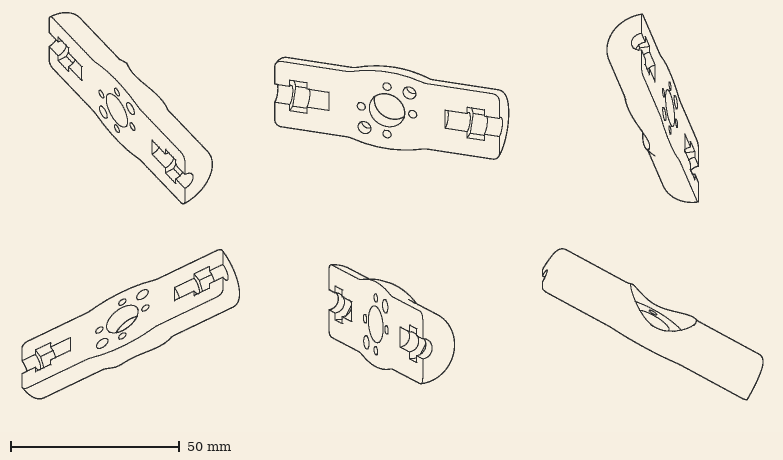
import cadquery as cq
import math

length = 70.0
half_length = length / 2
bar_radius = 11.05
end_fillet = 2.1

swell_half_length = 11.05
swell_edge_radius = 11.3
swell_radius = 26.0 / 2
blend_half_length = 12.5
blend_mid_rise = 0.055
blend_mid_radius = bar_radius + blend_mid_rise

recess_diameter = 22.4
recess_floor = 5.0

bore_diameter = 11.0
screw_diameter = 2.5
screw_circle_radius = 16.0 / 2
dowel_diameter = 4.0
dowel_offset = 7.0
dowel_depth = 3.5

channel_radius = 6.1 / 2
channel_length = 16.9
nut_inset = 4.7
nut_thickness = 5.3
nut_across_flats = 10.3


def revolved_bar():
    """Full bar of revolution about the X axis, ends rounded."""
    blend_mid_x = (blend_half_length + swell_half_length) / 2
    fillet_mid = end_fillet * (1 - math.sqrt(0.5))
    shoulder_x = half_length - end_fillet
    shoulder_radius = bar_radius - end_fillet
    corner_x = half_length - fillet_mid
    corner_radius = bar_radius - fillet_mid
    profile = (
        cq.Workplane("XY")
        .moveTo(-half_length, 0)
        .lineTo(-half_length, shoulder_radius)
        .threePointArc((-corner_x, corner_radius), (-shoulder_x, bar_radius))
        .lineTo(-blend_half_length, bar_radius)
        .threePointArc((-blend_mid_x, blend_mid_radius), (-swell_half_length, swell_edge_radius))
        .threePointArc((0, swell_radius), (swell_half_length, swell_edge_radius))
        .threePointArc((blend_mid_x, blend_mid_radius), (blend_half_length, bar_radius))
        .lineTo(shoulder_x, bar_radius)
        .threePointArc((corner_x, corner_radius), (half_length, shoulder_radius))
        .lineTo(half_length, 0)
        .close()
    )
    return profile.revolve(360, (0, 0, 0), (1, 0, 0))


def back_half():
    """Block covering everything behind the flat face."""
    size = 2 * swell_radius
    return cq.Workplane("XY").box(length, size, size, centered=(True, False, True))


def back_recess():
    """Flat-bottomed round recess, open towards +Y."""
    floor = cq.Workplane("XZ", origin=(0, recess_floor, 0))
    return floor.circle(recess_diameter / 2).extrude(-swell_radius)


def face_holes(points, diameter, depth):
    """Round holes entering the flat face in the +Y direction."""
    face = cq.Workplane("XZ").pushPoints(points)
    return face.circle(diameter / 2).extrude(-depth)


def end_recess(side):
    """Rod channel with a nut pocket, at the -X (side = -1) or +X (side = 1) end."""
    channel = (
        cq.Workplane("YZ", origin=(side * half_length, 0, 0))
        .circle(channel_radius)
        .extrude(-side * channel_length)
    )
    nut_across_corners = nut_across_flats / math.cos(math.pi / 6)
    nut = (
        cq.Workplane("YZ", origin=(side * (half_length - nut_inset), 0, 0))
        .polygon(6, nut_across_corners)
        .extrude(-side * nut_thickness)
    )
    return channel.union(nut)


screw_points = [
    (screw_circle_radius, 0),
    (0, screw_circle_radius),
    (-screw_circle_radius, 0),
    (0, -screw_circle_radius),
]
dowel_points = [(dowel_offset, dowel_offset), (-dowel_offset, -dowel_offset)]
through_depth = 2 * swell_radius

result = revolved_bar().intersect(back_half()).cut(back_recess())
result = result.cut(face_holes([(0, 0)], bore_diameter, through_depth))
result = result.cut(face_holes(screw_points, screw_diameter, through_depth))
result = result.cut(face_holes(dowel_points, dowel_diameter, dowel_depth))
for end_side in (-1, 1):
    result = result.cut(end_recess(end_side))